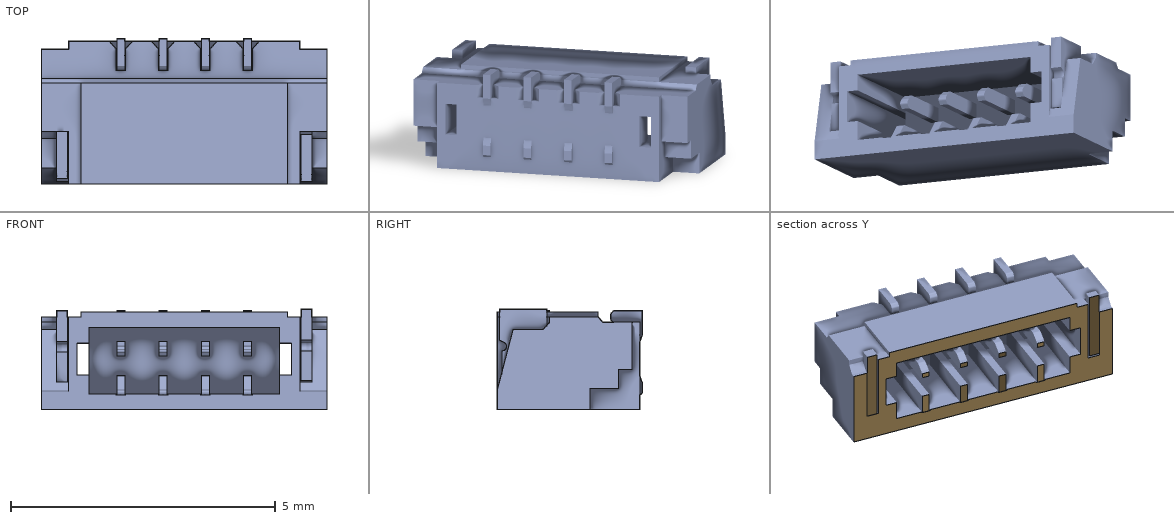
import cadquery as cq


WIDTH = 5.4
DEPTH = 2.7
CROWN_HEIGHT = 1.845
SHOULDER_HEIGHT = 1.755
REAR_HEIGHT = 1.65
CROWN_WIDTH = 3.91
ROOF_DEPTH = 1.91
ROOF_SLOPE = 0.085

END_STEP_WIDTH = 0.515
END_DEPTH = 2.55
MIDDLE_STEP_DEPTH = 2.295
MIDDLE_STEP_HEIGHT = 0.755
BOTTOM_STEP_DEPTH = 1.755
BOTTOM_STEP_HEIGHT = 0.4

CAVITY_WIDTH = 3.605
CAVITY_FLOOR = 0.29
CAVITY_CEILING = 1.555
CAVITY_DEPTH = 2.16
KEYWAY_WIDTH = 4.05
KEYWAY_BOTTOM = 0.66
KEYWAY_TOP = 1.255

POCKET_WIDTH = 0.515
POCKET_BACK = 0.995
POCKET_FLOOR = 1.51
POCKET_BEVEL_TOP = 1.65
POCKET_BEVEL_FRONT = 0.865
POCKET_SLANT_TOP = 0.3
POCKET_SLANT_BOTTOM = 0.355

PLATE_THICKNESS = 0.205
PLATE_INSET = 0.285
PLATE_FRONT = 0.1
PLATE_BOTTOM = 0.525
PLATE_TOP = 1.875
PLATE_LEG_FRONT = 0.15
PLATE_LEG_TOP = 1.085
PLATE_LIP_BOTTOM = 1.285
NOTCH_TOP_Y = 0.19
NOTCH_TOP_Z = 1.24
RIGHT_PLATE_FORWARD = 0.055
RIGHT_PLATE_LIFT = 0.025

CONTACT_COUNT = 4
CONTACT_PITCH = 0.8
CONTACT_WIDTH = 0.15
CONTACT_REAR = 2.75
CONTACT_TOP = 1.875
SEAT_DEPTH = 0.015
CONTACT_BOTTOM = CAVITY_FLOOR - SEAT_DEPTH
TAB_BOTTOM = REAR_HEIGHT - SEAT_DEPTH
TAB_FRONT = 2.15
TAB_CHAMFER = 0.06
TAB_ROUNDING = 0.045
SPINE_FRONT = 2.43
FOOT_CHAMFER = 0.045
REAR_HOLLOW_TOP = 1.415
REAR_HOLLOW_BOTTOM = 0.5
REAR_HOLLOW_DEPTH = 0.09

LOWER_ARM_TOP = 0.65
LOWER_SLOPE_BACK = 0.625
LOWER_TIP_FRONT = 0.36
LOWER_TIP_HEIGHT = 0.365
LOWER_TIP_ROUNDING = 0.02
LOWER_BEND_RADIUS = 0.08
UPPER_ARM_TOP = 1.29
UPPER_ARM_BOTTOM = 1.015
UPPER_SLOPE_BACK = 0.97
UPPER_BEND_Y = 0.83
UPPER_BEND_Z = 1.2
UPPER_NOSE_Y = 0.755
UPPER_NOSE_Z = 1.105
UPPER_UNDERCUT = 0.09
UPPER_ROUNDING = 0.045

SEAT_WIDTH = 0.185
VEE_WIDTH = 0.445
VEE_FRONT = 2.56
VEE_FLOOR = REAR_HOLLOW_TOP


def box(x_min, x_max, y_min, y_max, z_min, z_max):
    """Axis-aligned block between the given limits."""
    size = (x_max - x_min, y_max - y_min, z_max - z_min)
    return cq.Workplane("XY").box(*size, centered=False).translate((x_min, y_min, z_min))


def centered_box(width, y_min, y_max, z_min, z_max):
    """Block that is symmetric about X = 0."""
    return box(-width / 2, width / 2, y_min, y_max, z_min, z_max)


def extrude_along_x(outline, x_min, x_max):
    """Extrude a closed outline drawn in (Y, Z) from x_min to x_max."""
    return outline.extrude(x_max - x_min).translate((x_min, 0, 0))


def both_ends(left):
    """Left-end shape together with its mirror image at the right end."""
    return left.union(left.mirror("YZ"))


def housing_block():
    """Outer body with the raised roof, bevel and low rear deck."""
    outline = cq.Workplane("YZ").polyline([
        (0, 0),
        (DEPTH, 0),
        (DEPTH, REAR_HEIGHT),
        (ROOF_DEPTH + ROOF_SLOPE, REAR_HEIGHT),
        (ROOF_DEPTH, SHOULDER_HEIGHT),
        (0, SHOULDER_HEIGHT),
    ]).close()
    body = extrude_along_x(outline, -WIDTH / 2, WIDTH / 2)
    crown = centered_box(CROWN_WIDTH, 0, ROOF_DEPTH, CAVITY_CEILING, CROWN_HEIGHT)
    return body.union(crown)


def end_steps():
    """Material missing below and behind each end of the housing."""
    outline = cq.Workplane("YZ").polyline([
        (DEPTH, 0),
        (DEPTH, REAR_HEIGHT),
        (END_DEPTH, REAR_HEIGHT),
        (END_DEPTH, MIDDLE_STEP_HEIGHT),
        (MIDDLE_STEP_DEPTH, MIDDLE_STEP_HEIGHT),
        (MIDDLE_STEP_DEPTH, BOTTOM_STEP_HEIGHT),
        (BOTTOM_STEP_DEPTH, BOTTOM_STEP_HEIGHT),
        (BOTTOM_STEP_DEPTH, 0),
    ]).close()
    return both_ends(extrude_along_x(outline, -WIDTH / 2, -WIDTH / 2 + END_STEP_WIDTH))


def mating_cavity():
    """Front opening with side keyways that run through to the rear."""
    opening = centered_box(CAVITY_WIDTH, 0, CAVITY_DEPTH, CAVITY_FLOOR, CAVITY_CEILING)
    keyway = box(-KEYWAY_WIDTH / 2, -CAVITY_WIDTH / 2, 0, DEPTH, KEYWAY_BOTTOM, KEYWAY_TOP)
    return opening.union(both_ends(keyway))


def plate_pockets():
    """Open pocket at the front corner of each end, with a slot for the plate."""
    outline = cq.Workplane("YZ").polyline([
        (0, POCKET_SLANT_BOTTOM),
        (POCKET_SLANT_TOP, POCKET_FLOOR),
        (POCKET_BEVEL_FRONT, POCKET_FLOOR),
        (POCKET_BACK, POCKET_BEVEL_TOP),
        (POCKET_BACK, SHOULDER_HEIGHT),
        (0, SHOULDER_HEIGHT),
    ]).close()
    inner_wall = -WIDTH / 2 + POCKET_WIDTH
    pocket = extrude_along_x(outline, -WIDTH / 2, inner_wall)
    slot = box(-WIDTH / 2 + PLATE_INSET, inner_wall, 0, POCKET_BACK, PLATE_BOTTOM, SHOULDER_HEIGHT)
    return both_ends(pocket.union(slot))


def contact_seat(x):
    """Floor groove, rear deck groove and rear lead-in for the contact at x."""
    left = x - SEAT_WIDTH / 2
    right = x + SEAT_WIDTH / 2
    floor_groove = box(left, right, 0, CAVITY_DEPTH, CONTACT_BOTTOM, CAVITY_FLOOR)
    deck_groove = box(left, right, TAB_FRONT, DEPTH, TAB_BOTTOM, REAR_HEIGHT)
    lead_in = cq.Workplane("XY").workplane(offset=VEE_FLOOR).polyline([
        (left, VEE_FRONT),
        (right, VEE_FRONT),
        (x + VEE_WIDTH / 2, DEPTH),
        (x - VEE_WIDTH / 2, DEPTH),
    ]).close().extrude(REAR_HEIGHT - VEE_FLOOR)
    return floor_groove.union(deck_groove).union(lead_in)


def make_contact(x):
    """Forked contact: spine with a top tab, an upper arm and a lower arm."""
    hollow_middle = (REAR_HOLLOW_TOP + REAR_HOLLOW_BOTTOM) / 2
    outline = (
        cq.Workplane("YZ")
        .moveTo(CONTACT_REAR, CONTACT_TOP)
        .lineTo(TAB_FRONT + TAB_CHAMFER, CONTACT_TOP)
        .lineTo(TAB_FRONT, CONTACT_TOP - TAB_CHAMFER)
        .lineTo(TAB_FRONT, TAB_BOTTOM + TAB_CHAMFER)
        .lineTo(TAB_FRONT + TAB_CHAMFER, TAB_BOTTOM)
        .lineTo(SPINE_FRONT, TAB_BOTTOM)
        .lineTo(SPINE_FRONT, UPPER_ARM_TOP)
        .lineTo(UPPER_SLOPE_BACK, UPPER_ARM_TOP)
        .lineTo(UPPER_BEND_Y, UPPER_BEND_Z)
        .lineTo(UPPER_NOSE_Y, UPPER_NOSE_Z)
        .lineTo(UPPER_NOSE_Y + UPPER_UNDERCUT, UPPER_ARM_BOTTOM)
        .lineTo(SPINE_FRONT, UPPER_ARM_BOTTOM)
        .lineTo(SPINE_FRONT, LOWER_ARM_TOP)
        .lineTo(LOWER_SLOPE_BACK, LOWER_ARM_TOP)
        .lineTo(LOWER_TIP_FRONT, LOWER_TIP_HEIGHT)
        .threePointArc(
            (LOWER_TIP_FRONT - LOWER_TIP_ROUNDING, (LOWER_TIP_HEIGHT + CONTACT_BOTTOM) / 2),
            (LOWER_TIP_FRONT, CONTACT_BOTTOM),
        )
        .lineTo(CONTACT_REAR - FOOT_CHAMFER, CONTACT_BOTTOM)
        .lineTo(CONTACT_REAR, CONTACT_BOTTOM + FOOT_CHAMFER)
        .lineTo(CONTACT_REAR, REAR_HOLLOW_BOTTOM)
        .threePointArc(
            (CONTACT_REAR - REAR_HOLLOW_DEPTH, hollow_middle),
            (CONTACT_REAR, REAR_HOLLOW_TOP),
        )
        .close()
    )
    contact = extrude_along_x(outline, x - CONTACT_WIDTH / 2, x + CONTACT_WIDTH / 2)

    rounded_corners = [
        (TAB_FRONT + TAB_CHAMFER, CONTACT_TOP, TAB_ROUNDING),
        (TAB_FRONT, CONTACT_TOP - TAB_CHAMFER, TAB_ROUNDING),
        (TAB_FRONT, TAB_BOTTOM + TAB_CHAMFER, TAB_ROUNDING),
        (TAB_FRONT + TAB_CHAMFER, TAB_BOTTOM, TAB_ROUNDING),
        (UPPER_SLOPE_BACK, UPPER_ARM_TOP, UPPER_ROUNDING),
        (UPPER_BEND_Y, UPPER_BEND_Z, UPPER_ROUNDING),
        (UPPER_NOSE_Y, UPPER_NOSE_Z, UPPER_ROUNDING),
        (LOWER_SLOPE_BACK, LOWER_ARM_TOP, LOWER_BEND_RADIUS),
    ]
    for y, z, radius in rounded_corners:
        contact = contact.edges(cq.selectors.NearestToPointSelector((x, y, z))).fillet(radius)
    return contact


def make_plate():
    """Left retention plate, notched at the front below its upper block."""
    outline = (
        cq.Workplane("YZ")
        .moveTo(POCKET_BACK, PLATE_BOTTOM)
        .lineTo(POCKET_BACK, PLATE_TOP)
        .lineTo(PLATE_FRONT, PLATE_TOP)
        .lineTo(PLATE_FRONT, PLATE_LIP_BOTTOM)
        .lineTo(NOTCH_TOP_Y, NOTCH_TOP_Z)
        .tangentArcPoint((PLATE_LEG_FRONT, PLATE_LEG_TOP), relative=False)
        .lineTo(PLATE_LEG_FRONT, PLATE_BOTTOM)
        .close()
    )
    outer_side = -WIDTH / 2 + PLATE_INSET
    return extrude_along_x(outline, outer_side, outer_side + PLATE_THICKNESS)


contact_places = [(i - (CONTACT_COUNT - 1) / 2) * CONTACT_PITCH for i in range(CONTACT_COUNT)]
contacts = [make_contact(x) for x in contact_places]
left_plate = make_plate()
right_plate = left_plate.mirror("YZ").translate((0, -RIGHT_PLATE_FORWARD, RIGHT_PLATE_LIFT))

housing = housing_block().cut(end_steps()).cut(mating_cavity()).cut(plate_pockets())
for place, contact in zip(contact_places, contacts):
    housing = housing.cut(contact_seat(place)).cut(contact)

result = cq.Compound.makeCompound([
    housing.val(),
    left_plate.val(),
    right_plate.val(),
    *[contact.val() for contact in contacts],
])